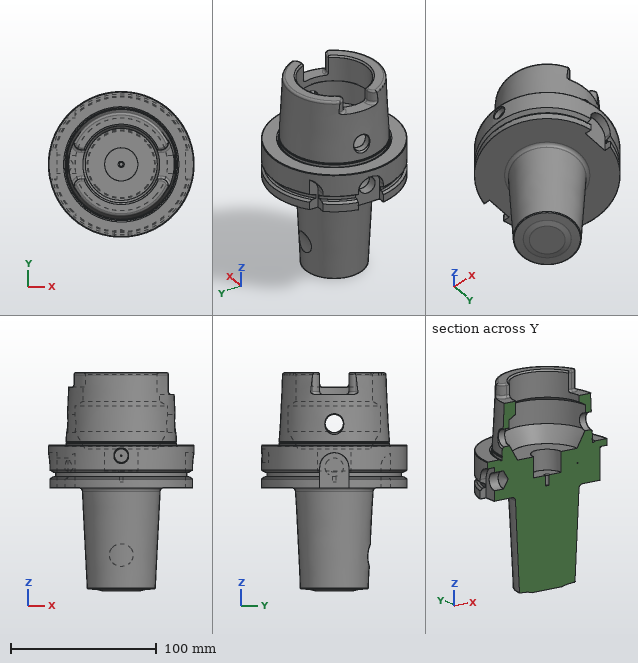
import cadquery as cq
import math

total_height = 149.9

flange_radius = 49.99
flange_top = 100.1
flange_bottom = 70.9
flange_chamfer = 0.5
groove_middle = 79.9
groove_half_width = 3.1
groove_undercut_half_width = 1.3
groove_floor_radius = 46.2
groove_flank_angle = 30.0
groove_break_radius = 48.3
groove_break_height = 78.2

relief_radius = 39.5
relief_depth = 0.9

foot_height = 1.0
foot_groove_depth = 0.22
foot_groove_pitch = 0.5

taper_base_radius = 37.9
taper_slope = 0.05
top_fillet = 1.8
lug_fillet = 1.3

nose_root_radius = 26.8
nose_end_radius = 23.4
nose_end_height = 2.1
nose_root_fillet = 2.5
nose_edge_chamfer = 0.6
nose_cone_radius = 16.5
nose_cone_height = 1.0
nose_face_radius = 12.3

lip_radius = 26.4
lip_chamfer = 1.2
lip_bottom = 130.1
lip_back_angle = 30.0
undercut_radius = 31.8
undercut_bottom = 109.6
bore_shoulder_angle = 60.0
bore_floor_radius = 24.7
coolant_bore_radius = 11.4
coolant_bore_depth = 15.0
coolant_hole_radius = 1.3
coolant_hole_chamfer = 0.7
coolant_hole_depth = 7.5

slot_half_width = 9.97
slot_floor_fillet = 2.0
slot_corner_radius = 5.1
slot_land_reach = 32.4
deep_slot_depth = 15.0
shallow_slot_depth = 10.0

cross_hole_height = 115.0
cross_hole_radius = 6.22
cross_hole_sink_reach = 36.5
cross_hole_half_length = 39.0

keyway_centre_height = 85.0
keyway_floor_reach = 44.0
notch_floor_reach = 31.6
notch_wall_reach = 32.0
keyway_hole_radius = 6.3
keyway_hole_depth = 7.5
drill_point_angle = 118.0
data_hole_height = 93.0
data_hole_radius = 4.6
data_hole_chamfer = 0.7
data_hole_floor_reach = 45.3
data_pip_radius = 0.5
data_pip_depth = 0.6

scoop_radius = 21.7
scoop_reach = 23.1
scoop_height = 23.7


def revolve(points):
    """Turn a closed half-section of (radius, height) points about Z."""
    return cq.Workplane("XZ").polyline(points).close().revolve(360, (0, 0), (0, 1))


def make_outside():
    foot_top = flange_top + foot_height
    foot_groove_radius = taper_base_radius - foot_groove_depth
    taper_start = foot_top + 3 * foot_groove_pitch
    taper_top_radius = taper_base_radius - taper_slope * (total_height - taper_start)
    relief_floor = flange_top - relief_depth
    undercut_top = groove_middle + groove_undercut_half_width
    undercut_low = groove_middle - groove_undercut_half_width
    flank_depth = (groove_half_width - groove_undercut_half_width) / math.tan(
        math.radians(groove_flank_angle)
    )
    flank_radius = flange_radius - flank_depth
    body = revolve([
        (0, 0),
        (nose_face_radius, 0),
        (nose_cone_radius, nose_cone_height),
        (nose_end_radius - nose_edge_chamfer, nose_end_height - nose_edge_chamfer),
        (nose_end_radius, nose_end_height),
        (nose_root_radius, flange_bottom),
        (flange_radius, flange_bottom),
        (flange_radius, groove_middle - groove_half_width),
        (groove_break_radius, groove_break_height),
        (flank_radius, undercut_low),
        (groove_floor_radius, undercut_low),
        (groove_floor_radius, undercut_top),
        (flank_radius, undercut_top),
        (flange_radius, groove_middle + groove_half_width),
        (flange_radius, flange_top - flange_chamfer),
        (flange_radius - flange_chamfer, flange_top),
        (relief_radius, flange_top),
        (relief_radius - relief_depth, relief_floor),
        (taper_base_radius, relief_floor),
        (taper_base_radius, foot_top),
        (foot_groove_radius, foot_top + foot_groove_pitch),
        (foot_groove_radius, foot_top + 2 * foot_groove_pitch),
        (taper_base_radius, taper_start),
        (taper_top_radius, total_height),
        (0, total_height),
    ])
    nose_root = cq.selectors.RadiusNthSelector(0)
    underside = body.faces("|Z").faces(">Z[1]")
    body = underside.edges(nose_root).fillet(nose_root_fillet)
    return body.faces(">Z").edges().fillet(top_fillet)


def make_bore():
    lip_back_drop = (undercut_radius - lip_radius) * math.tan(math.radians(lip_back_angle))
    shoulder_drop = (undercut_radius - bore_floor_radius) * math.tan(math.radians(bore_shoulder_angle))
    floor = undercut_bottom - shoulder_drop
    coolant_floor = floor - coolant_bore_depth
    sink_radius = coolant_hole_radius + coolant_hole_chamfer
    return revolve([
        (0, total_height),
        (lip_radius + lip_chamfer, total_height),
        (lip_radius, total_height - lip_chamfer),
        (lip_radius, lip_bottom),
        (undercut_radius, lip_bottom - lip_back_drop),
        (undercut_radius, undercut_bottom),
        (bore_floor_radius, floor),
        (coolant_bore_radius, floor),
        (coolant_bore_radius, coolant_floor),
        (sink_radius, coolant_floor),
        (coolant_hole_radius, coolant_floor - coolant_hole_chamfer),
        (coolant_hole_radius, coolant_floor - coolant_hole_depth),
        (0, coolant_floor - coolant_hole_depth),
    ])


def wall_edges(solid, side, height):
    """The two straight edges along the drive slot walls at a given height."""
    first, second = (
        cq.selectors.NearestToPointSelector((side * slot_half_width, wall_y, height))
        for wall_y in (-slot_half_width, slot_half_width)
    )
    return solid.edges(first + second)


def make_drive_slot(side, depth):
    """Slot cutter on the +X (side = 1) or -X (side = -1) half of the taper."""
    corner_start = slot_land_reach - slot_corner_radius
    corner_end = slot_half_width + slot_corner_radius
    bend = slot_corner_radius * math.sqrt(0.5)
    outside = flange_radius
    floor = total_height - depth
    slot = (
        cq.Workplane("XY", origin=(0, 0, floor))
        .moveTo(0, -slot_half_width)
        .lineTo(side * corner_start, -slot_half_width)
        .threePointArc((side * (corner_start + bend), bend - corner_end),
                       (side * slot_land_reach, -corner_end))
        .lineTo(side * slot_land_reach, -outside)
        .lineTo(side * outside, -outside)
        .lineTo(side * outside, outside)
        .lineTo(side * slot_land_reach, outside)
        .lineTo(side * slot_land_reach, corner_end)
        .threePointArc((side * (corner_start + bend), corner_end - bend),
                       (side * corner_start, slot_half_width))
        .lineTo(0, slot_half_width)
        .close()
        .extrude(depth)
    )
    slot = wall_edges(slot, side, floor).fillet(slot_floor_fillet)
    block = cq.Workplane("XY", origin=(side * outside / 2, 0, floor)).box(
        outside, 2 * outside, depth, centered=(True, True, False)
    )
    lugs = wall_edges(block.cut(slot), side, total_height).fillet(lug_fillet)
    return block.cut(lugs)


def make_keyway(floor_reach, centre_y, side):
    """Round-topped keyway cutter, open at the flange underside and milled along X."""
    length = flange_radius
    start = floor_reach if side > 0 else -floor_reach - length
    return (
        cq.Workplane("YZ", origin=(start, centre_y, 0))
        .moveTo(-slot_half_width, flange_bottom)
        .lineTo(-slot_half_width, keyway_centre_height)
        .threePointArc((0, keyway_centre_height + slot_half_width),
                       (slot_half_width, keyway_centre_height))
        .lineTo(slot_half_width, flange_bottom)
        .close()
        .extrude(length)
    )


def make_cross_hole():
    """Hole right across the taper, flaring outwards at 45 degrees at both mouths."""
    flare = cross_hole_half_length - cross_hole_sink_reach
    mouth_radius = cross_hole_radius + flare
    hole = revolve([
        (0, -cross_hole_half_length),
        (mouth_radius, -cross_hole_half_length),
        (cross_hole_radius, -cross_hole_sink_reach),
        (cross_hole_radius, cross_hole_sink_reach),
        (mouth_radius, cross_hole_half_length),
        (0, cross_hole_half_length),
    ])
    return hole.rotate((0, 0, 0), (0, 1, 0), 90).translate((0, 0, cross_hole_height))


def make_keyway_hole():
    """Drilled hole with a conical end in the floor of the -X keyway."""
    point_length = keyway_hole_radius / math.tan(math.radians(drill_point_angle / 2))
    drill = revolve([
        (0, 0),
        (keyway_hole_radius, 0),
        (keyway_hole_radius, keyway_hole_depth),
        (0, keyway_hole_depth + point_length),
    ])
    return drill.rotate((0, 0, 0), (0, 1, 0), 90).translate(
        (-keyway_floor_reach, 0, keyway_centre_height)
    )


def make_data_hole():
    """Flat-bottomed chamfered hole in the -Y side of the flange, with a centre pip."""
    chamfer_start = flange_radius - data_hole_chamfer
    hole = revolve([
        (0, data_hole_floor_reach - data_pip_depth),
        (data_pip_radius, data_hole_floor_reach - data_pip_depth),
        (data_pip_radius, data_hole_floor_reach),
        (data_hole_radius, data_hole_floor_reach),
        (data_hole_radius, chamfer_start),
        (data_hole_radius + 2 * data_hole_chamfer, flange_radius + data_hole_chamfer),
        (0, flange_radius + data_hole_chamfer),
    ])
    return hole.rotate((0, 0, 0), (1, 0, 0), 90).translate((0, 0, data_hole_height))


def make_scoop():
    return (
        cq.Workplane("YZ", origin=(0, scoop_reach + scoop_radius, scoop_height))
        .circle(scoop_radius)
        .extrude(nose_root_radius, both=True)
    )


result = make_outside()
result = result.cut(make_drive_slot(1, deep_slot_depth))
result = result.cut(make_drive_slot(-1, shallow_slot_depth))
result = result.cut(make_bore())
result = result.cut(make_cross_hole())
result = result.cut(make_keyway(keyway_floor_reach, 0, 1))
result = result.cut(make_keyway(keyway_floor_reach, 0, -1))
result = result.cut(make_keyway(notch_floor_reach, notch_wall_reach + slot_half_width, -1))
result = result.cut(make_keyway_hole())
result = result.cut(make_data_hole())
result = result.cut(make_scoop())